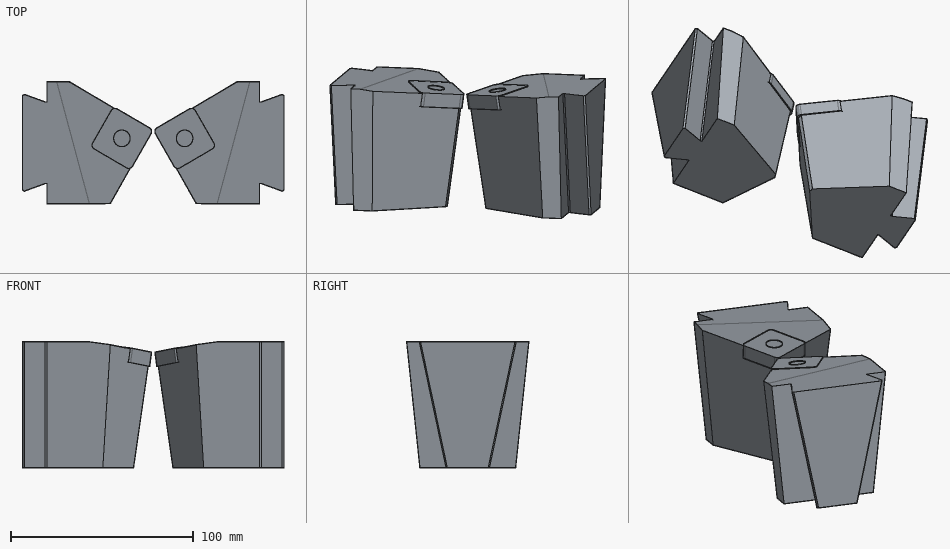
import cadquery as cq
import math


HEIGHT = 69.0
BACK_X = -143.19 / 2
TOP_HALF_WIDTH = 33.5
SIDE_DRAFT = math.tan(math.radians(6))

DOVETAIL_DEPTH = 13.4
DOVETAIL_HALF_WIDTH = 26.55
DOVETAIL_FLANK_SLOPE = math.tan(math.radians(20))
DOVETAIL_TAPER = math.tan(math.radians(12))
DOVETAIL_TIP_LENGTH = 1.0
DOVETAIL_TIP_WIDTH = 0.7
NECK_FLAT = 1.0
NECK_X = BACK_X + DOVETAIL_DEPTH
FLANK_START_X = BACK_X + DOVETAIL_TIP_LENGTH
FLANK_END_X = NECK_X - NECK_FLAT
NECK_HALF_WIDTH = DOVETAIL_HALF_WIDTH - (FLANK_END_X - FLANK_START_X) * DOVETAIL_FLANK_SLOPE

LOWER_FLANK_DIRECTION = math.radians(-30)
UPPER_FLANK_DIRECTION = math.radians(60)
LOWER_FLANK_DISTANCE = -3.52
UPPER_FLANK_DISTANCE = 6.1
NOSE_CHAMFER = 1.65

SLOPE_ANGLE = 8.0
SLOPE_DIRECTION = (LOWER_FLANK_DIRECTION + UPPER_FLANK_DIRECTION) / 2
SLOPE_START_X = -43.9

INSERT_SIZE = 25.4
INSERT_THICKNESS = 7.94
INSERT_CORNER_RADIUS = 2.4
INSERT_HOLE_DIAMETER = 9.12
INSERT_RAISE = 0.4
INSERT_X = -17.2
INSERT_Y = 2.4


def flank_point_at_y(direction, distance, y):
    """Point on a flank's plan line at the given Y."""
    return ((distance - y * math.sin(direction)) / math.cos(direction), y)


def nose_chamfer_points(lower_distance, upper_distance):
    """Ends of the chamfer across the corner where the two square flanks meet."""
    lower_x, lower_y = math.cos(LOWER_FLANK_DIRECTION), math.sin(LOWER_FLANK_DIRECTION)
    upper_x, upper_y = math.cos(UPPER_FLANK_DIRECTION), math.sin(UPPER_FLANK_DIRECTION)

    def point(lower, upper):
        return (lower * lower_x + upper * upper_x, lower * lower_y + upper * upper_y)

    return [
        point(lower_distance, upper_distance - NOSE_CHAMFER),
        point(lower_distance - NOSE_CHAMFER, upper_distance),
    ]


def block_outline(depth):
    """Corner points of the block's cross-section at a depth below the top."""
    side = TOP_HALF_WIDTH - depth * SIDE_DRAFT
    neck = NECK_HALF_WIDTH - depth * DOVETAIL_TAPER
    tip = DOVETAIL_HALF_WIDTH - depth * DOVETAIL_TAPER
    lower = LOWER_FLANK_DISTANCE - depth * SIDE_DRAFT
    upper = UPPER_FLANK_DISTANCE - depth * SIDE_DRAFT
    dovetail_side = [
        (BACK_X, tip - DOVETAIL_TIP_WIDTH),
        (FLANK_START_X, tip),
        (FLANK_END_X, neck),
        (NECK_X, neck),
        (NECK_X, side),
    ]
    return [
        *[(x, -y) for x, y in dovetail_side],
        flank_point_at_y(LOWER_FLANK_DIRECTION, lower, -side),
        *nose_chamfer_points(lower, upper),
        flank_point_at_y(UPPER_FLANK_DIRECTION, upper, side),
        *reversed(dovetail_side),
    ]


def make_block():
    """Drafted block with its dovetail and chamfered nose, before the slope is cut."""
    return (
        cq.Workplane("XY")
        .polyline(block_outline(HEIGHT)).close()
        .workplane(offset=HEIGHT)
        .polyline(block_outline(0)).close()
        .loft(ruled=True)
    )


def seat_plane():
    """Plane of the sloping face: X runs downhill and Z is the face normal."""
    slope = math.radians(SLOPE_ANGLE)
    along = (math.cos(SLOPE_DIRECTION), math.sin(SLOPE_DIRECTION))
    downhill = (math.cos(slope) * along[0], math.cos(slope) * along[1], -math.sin(slope))
    normal = (math.sin(slope) * along[0], math.sin(slope) * along[1], math.cos(slope))
    return cq.Plane(origin=(SLOPE_START_X, 0, HEIGHT), xDir=downhill, normal=normal)


SEAT = seat_plane()


def insert_centre():
    """Centre of the insert, on the sloping face."""
    run = (INSERT_X - SLOPE_START_X) * math.cos(SLOPE_DIRECTION) + INSERT_Y * math.sin(SLOPE_DIRECTION)
    drop = run * math.tan(math.radians(SLOPE_ANGLE))
    return (INSERT_X, INSERT_Y, HEIGHT - drop)


def make_insert():
    """Square insert with rounded corners and a plain hole, one corner pointing downhill."""
    corner_downhill = 45
    bottom = (
        cq.Workplane(cq.Plane(origin=insert_centre(), xDir=SEAT.xDir, normal=SEAT.zDir))
        .workplane(offset=INSERT_RAISE - INSERT_THICKNESS)
        .transformed(rotate=(0, 0, corner_downhill))
    )
    slab = (
        bottom.rect(INSERT_SIZE, INSERT_SIZE).extrude(INSERT_THICKNESS)
        .edges(cq.selectors.ParallelDirSelector(SEAT.zDir))
        .fillet(INSERT_CORNER_RADIUS)
    )
    hole = bottom.circle(INSERT_HOLE_DIAMETER / 2).extrude(INSERT_THICKNESS)
    return slab.cut(hole)


def make_holder(insert):
    """Block with the sloping face and the insert pocket, leaving a stud in the insert's hole."""
    cutter_size = 2 * HEIGHT
    above_slope = (
        cq.Workplane(SEAT)
        .center(cutter_size / 2, 0)
        .rect(cutter_size, cutter_size)
        .extrude(HEIGHT)
    )
    return make_block().cut(above_slope).cut(insert)


insert = make_insert()
holder = make_holder(insert)

bodies = []
for body in (holder, insert):
    bodies.append(body.val())
    bodies.append(body.mirror("YZ").val())

result = cq.Compound.makeCompound(bodies)